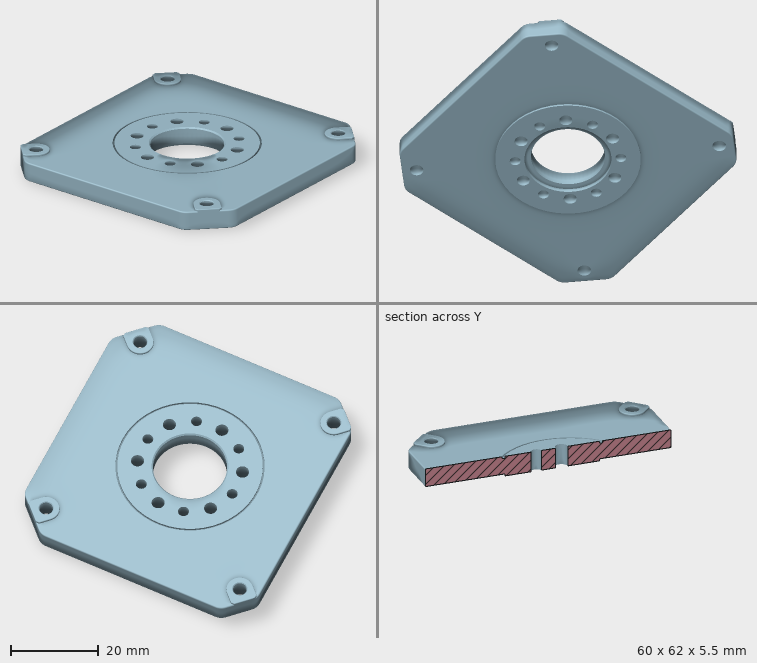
import cadquery as cq
import math

PLATE_LENGTH_X = 60.0
PLATE_LENGTH_Y = 62.0
PLATE_SHIFT_X = 1.0
PLATE_THICKNESS = 4.5
CORNER_FLAT_DISTANCE = 38.0
CORNER_RADIUS = 3.1
PLATE_EDGE_RADIUS = 0.3

SCREW_OFFSET = 24.5
SCREW_HOLE_DIAMETER = 3.1
SCREW_HOLE_CHAMFER = 0.2
PAD_HEIGHT = 0.5
PAD_RADIUS = 3.1
PAD_CORNER_CHAMFER = 0.6
PAD_EDGE_RADIUS = 0.2

SPIGOT_DIAMETER = 33.1
SPIGOT_HEIGHT = 0.5
GROOVE_OUTER_DIAMETER = 34.0
GROOVE_DEPTH = 0.5
BORE_DIAMETER = 16.85
BORE_CHAMFER = 0.3
COUNTERBORE_DIAMETER = 19.85
COUNTERBORE_DEPTH = 1.0

HOLE_CIRCLE_RADIUS = 12.0
HOLES_PER_SET = 6
LARGE_HOLE_DIAMETER = 3.0
SMALL_HOLE_DIAMETER = 2.5
FIRST_LARGE_ANGLE = 18.8
HOLE_PITCH_ANGLE = 360 / HOLES_PER_SET
FIRST_SMALL_ANGLE = FIRST_LARGE_ANGLE + HOLE_PITCH_ANGLE / 2

PAD_TOP = PLATE_THICKNESS + PAD_HEIGHT
SPIGOT_BOTTOM = -SPIGOT_HEIGHT

CORNER_ANGLES = (45, 135, 225, 315)
SCREW_RADIUS = SCREW_OFFSET * math.sqrt(2)


def turned(solid, angle):
    """Turn a solid about the bore axis."""
    return solid.rotate((0, 0, 0), (0, 0, 1), angle)


def plate_prism(height):
    """Rectangle with rounded corners, each cut by a flat equally far from the bore axis."""
    rectangle = (
        cq.Workplane("XY")
        .center(PLATE_SHIFT_X, 0)
        .rect(PLATE_LENGTH_X, PLATE_LENGTH_Y)
        .extrude(height)
    )
    flats = (
        cq.Workplane("XY")
        .rect(2 * CORNER_FLAT_DISTANCE, 2 * CORNER_FLAT_DISTANCE)
        .extrude(height)
    )
    outline = rectangle.intersect(turned(flats, CORNER_ANGLES[0]))
    return outline.edges("|Z").fillet(CORNER_RADIUS)


def plate():
    """Plate with rounded top and bottom edges."""
    return plate_prism(PLATE_THICKNESS).faces("<Z or >Z").edges().fillet(PLATE_EDGE_RADIUS)


def corner_pad(angle):
    """Round-ended pad from its screw hole out to the corner flat, trimmed to the plate outline."""
    straight = CORNER_FLAT_DISTANCE - SCREW_RADIUS
    pad = (
        cq.Workplane("XY")
        .workplane(offset=PLATE_EDGE_RADIUS)
        .moveTo(SCREW_RADIUS, -PAD_RADIUS)
        .hLine(straight)
        .vLine(2 * PAD_RADIUS)
        .hLine(-straight)
        .threePointArc((SCREW_RADIUS - PAD_RADIUS, 0), (SCREW_RADIUS, -PAD_RADIUS))
        .close()
        .extrude(PAD_TOP - PLATE_EDGE_RADIUS)
        .edges("|Z and >X")
        .chamfer(PAD_CORNER_CHAMFER)
        .faces(">Z")
        .edges()
        .fillet(PAD_EDGE_RADIUS)
    )
    return turned(pad, angle).intersect(plate_prism(PAD_TOP))


def hole_cutter(diameter, bottom, top, top_chamfer):
    """Round cutter on the Z axis that flares at its top to chamfer the rim of the hole."""
    cutter = cq.Workplane("XY").workplane(offset=bottom).circle(diameter / 2).extrude(top - bottom)
    flare = (
        cq.Workplane("XY")
        .workplane(offset=top)
        .circle(diameter / 2 + top_chamfer)
        .workplane(offset=-top_chamfer)
        .circle(diameter / 2)
        .loft()
    )
    return cutter.union(flare)


def ring_holes(diameter, first_angle):
    """One set of plain through holes spread evenly around the bore."""
    return (
        cq.Workplane("XY")
        .workplane(offset=SPIGOT_BOTTOM)
        .polarArray(HOLE_CIRCLE_RADIUS, first_angle, 360, HOLES_PER_SET)
        .circle(diameter / 2)
        .extrude(PLATE_THICKNESS - SPIGOT_BOTTOM)
    )


def top_groove():
    """Shallow ring groove in the top face."""
    return (
        cq.Workplane("XY")
        .workplane(offset=PLATE_THICKNESS)
        .circle(GROOVE_OUTER_DIAMETER / 2)
        .circle(SPIGOT_DIAMETER / 2)
        .extrude(-GROOVE_DEPTH)
    )


def counterbore():
    """Step that widens the bore from below."""
    return (
        cq.Workplane("XY")
        .workplane(offset=SPIGOT_BOTTOM)
        .circle(COUNTERBORE_DIAMETER / 2)
        .extrude(COUNTERBORE_DEPTH)
    )


spigot = cq.Workplane("XY").circle(SPIGOT_DIAMETER / 2).extrude(SPIGOT_BOTTOM)
result = plate().union(spigot)

screw_hole = hole_cutter(SCREW_HOLE_DIAMETER, 0, PAD_TOP, SCREW_HOLE_CHAMFER)
screw_hole = screw_hole.translate((SCREW_RADIUS, 0, 0))
for corner_angle in CORNER_ANGLES:
    result = result.union(corner_pad(corner_angle))
    result = result.cut(turned(screw_hole, corner_angle))

result = result.cut(top_groove())
result = result.cut(hole_cutter(BORE_DIAMETER, SPIGOT_BOTTOM, PLATE_THICKNESS, BORE_CHAMFER))
result = result.cut(counterbore())
result = result.cut(ring_holes(LARGE_HOLE_DIAMETER, FIRST_LARGE_ANGLE))
result = result.cut(ring_holes(SMALL_HOLE_DIAMETER, FIRST_SMALL_ANGLE))